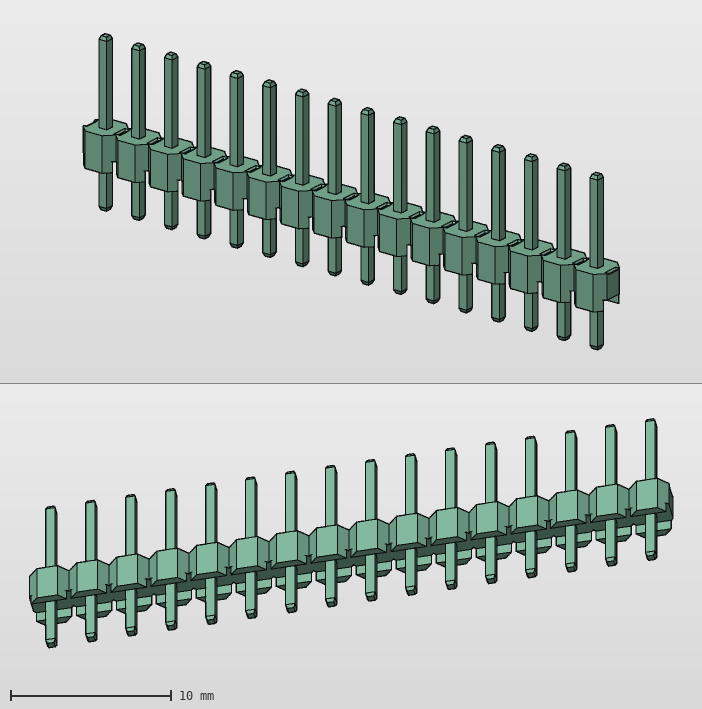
import cadquery as cq


pin_count = 16
row_length = 40.65
pitch = row_length / pin_count

housing_depth = 2.5
housing_height = 2.5
corner_cut = 0.6

channel_width = 1.6
channel_height = 0.75

dimple_length = 1.1
dimple_width = 0.4
dimple_depth = 0.12
dimple_slope = 45.0

pin_width = 0.6
pin_height = 11.7
tail_length = 3.0
tip_height = 0.25
tip_inset = 0.1

pin_places = [((i + 0.5) * pitch - row_length / 2, 0) for i in range(pin_count)]
joint_places = [(i * pitch - row_length / 2, 0) for i in range(pin_count + 1)]


def octagon_housings():
    """Octagonal blocks that meet at their flat end faces."""
    block = (
        cq.Workplane("XY")
        .rect(pitch, housing_depth)
        .extrude(housing_height)
        .edges("|Z")
        .chamfer(corner_cut)
    )
    row = cq.Workplane("XY")
    for x, y in pin_places:
        row = row.union(block.translate((x, y, 0)))
    return row


def bottom_channel():
    """Straight channel along the whole row."""
    return cq.Workplane("XY").rect(row_length, channel_width).extrude(channel_height)


def joint_dimples():
    """Shallow dimples that narrow downwards, one across each joint and row end."""
    return (
        cq.Workplane("XY", origin=(0, 0, housing_height))
        .pushPoints(joint_places)
        .rect(dimple_width, dimple_length)
        .extrude(-dimple_depth, taper=dimple_slope)
    )


def pins():
    """Square pins with a tapered tip at both ends."""
    square_pins = (
        cq.Workplane("XY", origin=(0, 0, -tail_length))
        .pushPoints(pin_places)
        .rect(pin_width, pin_width)
        .extrude(pin_height)
    )
    return square_pins.faces("<Z or >Z").chamfer(tip_height, tip_inset)


result = octagon_housings().cut(bottom_channel()).cut(joint_dimples()).union(pins())